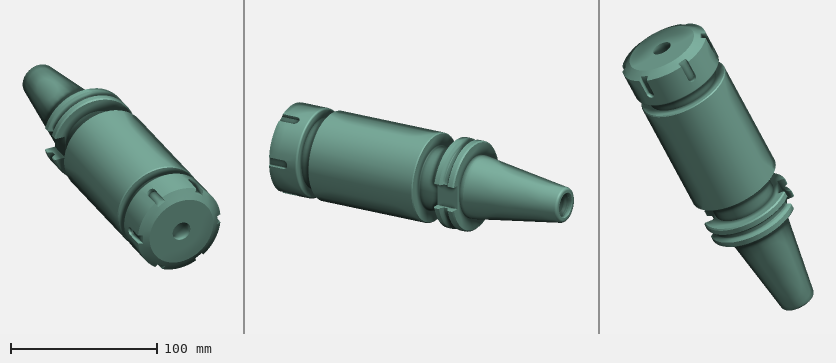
import cadquery as cq
import math

TOTAL_LENGTH = 220.7

TAPER_LENGTH = 68.5
TAPER_RATIO = 7 / 24
GAUGE_DIAMETER = 44.4
TAPER_END_FILLET = 2.0

FLANGE_DIAMETER = 63.3
FLANGE_GAP = 2.9
FLANGE_WIDTH = 15.9
FLANGE_CHAMFER = 0.9
GROOVE_OFFSET = 10.8
GROOVE_WIDTH = 6.8
GROOVE_DEPTH = 3.3
GROOVE_HALF_ANGLE = 30.0
GROOVE_FLOOR_FILLET = 0.7
DRIVE_SLOT_WIDTH = 16.8
DRIVE_SLOT_CHAMFER = 0.7
FRONT_SLOT_FLOOR = 22.5
BACK_SLOT_FLOOR = 25.0

BODY_DIAMETER = 63.0
BODY_START = 103.3
BODY_END = 186.2
BODY_CHAMFER = 0.7
NECK_FILLET = 0.9
SPIGOT_DIAMETER = 50.0
SPIGOT_IN_NUT = 15.5

BORE_DIAMETER = 13.5
MOUTH_DIAMETER = 16.8
MOUTH_DEPTH = 2.6
MOUTH_CHAMFER = 0.5
STEP_DIAMETER = 16.3
STEP_DEPTH = 4.2

NUT_DIAMETER = 63.0
NUT_START = 195.0
NUT_BACK_FILLET = 1.3
NUT_NOSE_DIAMETER = 48.5
NUT_NOSE_LENGTH = 3.5
WRENCH_SLOT_COUNT = 6
WRENCH_SLOT_WIDTH = 6.2
WRENCH_SLOT_FLOOR = 28.2
WRENCH_SLOT_START = 202.5

TAPER_END_RADIUS = (GAUGE_DIAMETER - TAPER_LENGTH * TAPER_RATIO) / 2
FLANGE_START = TAPER_LENGTH + FLANGE_GAP
FLANGE_END = FLANGE_START + FLANGE_WIDTH
GROOVE_CENTER = TAPER_LENGTH + GROOVE_OFFSET
SPIGOT_END = NUT_START + SPIGOT_IN_NUT


def cylinder(diameter, start, end):
    """Solid cylinder along X."""
    return cq.Workplane("YZ", origin=(start, 0, 0)).circle(diameter / 2).extrude(end - start)


def revolve_about_x(points):
    """Solid of revolution about X from (x, radius) points."""
    return cq.Workplane("XY").polyline(points).close().revolve(360, (0, 0, 0), (1, 0, 0))


def make_taper():
    taper = revolve_about_x([
        (0, 0),
        (0, TAPER_END_RADIUS),
        (TAPER_LENGTH, GAUGE_DIAMETER / 2),
        (TAPER_LENGTH, 0),
    ])
    return taper.faces("<X").edges().fillet(TAPER_END_FILLET)


def make_groove_ring():
    """Ring with the V groove section, cut out of the flange rim."""
    rim = FLANGE_DIAMETER / 2
    floor = rim - GROOVE_DEPTH
    half_rim = GROOVE_WIDTH / 2
    half_floor = half_rim - GROOVE_DEPTH * math.tan(math.radians(GROOVE_HALF_ANGLE))
    ring = revolve_about_x([
        (GROOVE_CENTER - half_rim, rim),
        (GROOVE_CENTER - half_floor, floor),
        (GROOVE_CENTER + half_floor, floor),
        (GROOVE_CENTER + half_rim, rim),
    ])
    floor_edges = ring.edges(cq.selectors.RadiusNthSelector(0))
    return floor_edges.fillet(GROOVE_FLOOR_FILLET)


def make_drive_slot(floor, side):
    """Cutter for one drive slot with chamfered rim edges; side is -1 for -Y and +1 for +Y."""
    rim = FLANGE_DIAMETER / 2
    half_width = DRIVE_SLOT_WIDTH / 2
    chamfer_start = math.sqrt(rim ** 2 - half_width ** 2) - DRIVE_SLOT_CHAMFER
    half_mouth = half_width + rim - chamfer_start
    section = [
        (floor, half_width),
        (chamfer_start, half_width),
        (rim, half_mouth),
        (rim, -half_mouth),
        (chamfer_start, -half_width),
        (floor, -half_width),
    ]
    return (
        cq.Workplane("YZ", origin=(FLANGE_START, 0, 0))
        .polyline([(side * y, z) for y, z in section])
        .close()
        .extrude(FLANGE_WIDTH)
    )


def make_flange():
    flange = cylinder(FLANGE_DIAMETER, FLANGE_START, FLANGE_END).edges().chamfer(FLANGE_CHAMFER)
    flange = flange.cut(make_groove_ring())
    flange = flange.cut(make_drive_slot(FRONT_SLOT_FLOOR, -1))
    return flange.cut(make_drive_slot(BACK_SLOT_FLOOR, 1))


def make_bore():
    mouth = MOUTH_DIAMETER / 2
    step = STEP_DIAMETER / 2
    bore = BORE_DIAMETER / 2
    return revolve_about_x([
        (0, 0),
        (0, mouth + MOUTH_CHAMFER),
        (MOUTH_CHAMFER, mouth),
        (MOUTH_DEPTH, mouth),
        (MOUTH_DEPTH, step),
        (STEP_DEPTH, step),
        (STEP_DEPTH + step - bore, bore),
        (TOTAL_LENGTH, bore),
        (TOTAL_LENGTH, 0),
    ])


def make_neck_and_body():
    """Neck and body cylinders with a fillet in the corner where they meet."""
    neck = cylinder(GAUGE_DIAMETER, TAPER_LENGTH, BODY_START)
    body = cylinder(BODY_DIAMETER, BODY_START, BODY_END).edges().chamfer(BODY_CHAMFER)
    neck_edges = neck.union(body).edges(cq.selectors.RadiusNthSelector(0))
    return neck_edges.edges(">X").fillet(NECK_FILLET)


def make_holder():
    spigot = cylinder(SPIGOT_DIAMETER, BODY_END, SPIGOT_END)
    holder = make_taper().union(make_neck_and_body()).union(make_flange()).union(spigot)
    return holder.cut(make_bore())


def make_wrench_slot():
    """Round-ended slot at the -Y side, open toward +X."""
    radius = WRENCH_SLOT_WIDTH / 2
    depth = NUT_DIAMETER / 2 - WRENCH_SLOT_FLOOR
    start = WRENCH_SLOT_START + radius
    return (
        cq.Workplane("XZ", origin=(0, -WRENCH_SLOT_FLOOR, 0))
        .moveTo(TOTAL_LENGTH, radius)
        .lineTo(start, radius)
        .threePointArc((WRENCH_SLOT_START, 0), (start, -radius))
        .lineTo(TOTAL_LENGTH, -radius)
        .close()
        .extrude(depth)
    )


def make_nut():
    outer = NUT_DIAMETER / 2
    nose = NUT_NOSE_DIAMETER / 2
    cone_start = TOTAL_LENGTH - NUT_NOSE_LENGTH
    nut = revolve_about_x([
        (NUT_START, 0),
        (NUT_START, outer),
        (cone_start, outer),
        (TOTAL_LENGTH, nose),
        (TOTAL_LENGTH, 0),
    ])
    nut = nut.faces("<X").edges().fillet(NUT_BACK_FILLET)
    slot = make_wrench_slot()
    for index in range(WRENCH_SLOT_COUNT):
        angle = index * 360 / WRENCH_SLOT_COUNT
        nut = nut.cut(slot.rotate((0, 0, 0), (1, 0, 0), angle))
    nut = nut.cut(cylinder(SPIGOT_DIAMETER, NUT_START, SPIGOT_END))
    return nut.cut(cylinder(BORE_DIAMETER, NUT_START, TOTAL_LENGTH))


holder = make_holder()
nut = make_nut()

result = cq.Compound.makeCompound([holder.val(), nut.val()])